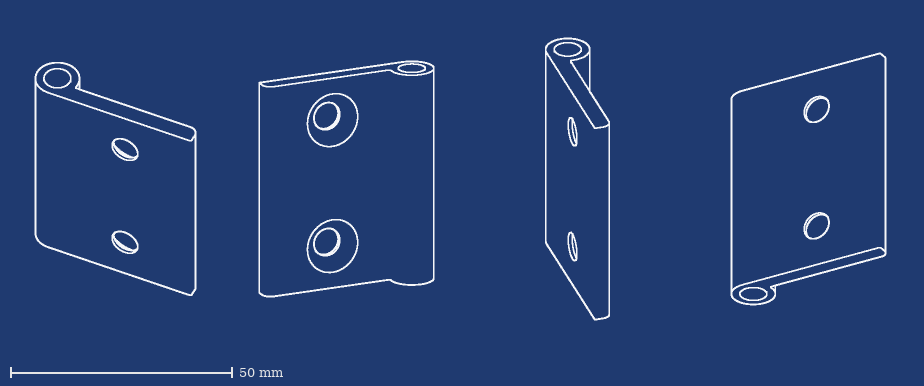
import cadquery as cq

height = 50.0
overall_width = 40.8

barrel_radius = 5.0
bore_diameter = 6.1

leaf_thickness = 4.0
leaf_front = -barrel_radius
leaf_back = leaf_front + leaf_thickness
leaf_end = overall_width - barrel_radius
back_edge_radius = 2.0
front_edge_radius = 0.3
root_fillet_radius = 0.4

hole_diameter = 6.4
hole_x = 19.25
hole_edge_distance = 10.0
countersink_diameter = 12.5
countersink_angle = 90.0


def make_leaf():
    """Flat plate with a rounded free end."""
    plate = cq.Workplane("XY").box(leaf_end, leaf_thickness, height, centered=False)
    plate = plate.translate((0, leaf_front, 0))
    plate = plate.edges("|Z and >X and >Y").fillet(back_edge_radius)
    return plate.edges("|Z and >X and <Y").fillet(front_edge_radius)


def make_body():
    """Barrel joined to the leaf, with the inner corner between them rounded."""
    barrel = cq.Workplane("XY").circle(barrel_radius).extrude(height)
    body = barrel.union(make_leaf())
    root_x = (barrel_radius**2 - leaf_back**2) ** 0.5
    root_edge = cq.selectors.NearestToPointSelector((root_x, leaf_back, height / 2))
    return body.edges(root_edge).fillet(root_fillet_radius)


def drill_screw_holes(body):
    """Holes countersunk from the back of the leaf, the same distance from each end."""
    centers = [(-hole_x, z) for z in (hole_edge_distance, height - hole_edge_distance)]
    back_plane = cq.Plane(origin=(0, leaf_back, 0), xDir=(-1, 0, 0), normal=(0, 1, 0))
    holes = body.copyWorkplane(cq.Workplane(back_plane)).pushPoints(centers)
    return holes.cskHole(hole_diameter, countersink_diameter, countersink_angle, leaf_thickness)


bore = cq.Workplane("XY").circle(bore_diameter / 2).extrude(height)
result = drill_screw_holes(make_body().cut(bore))